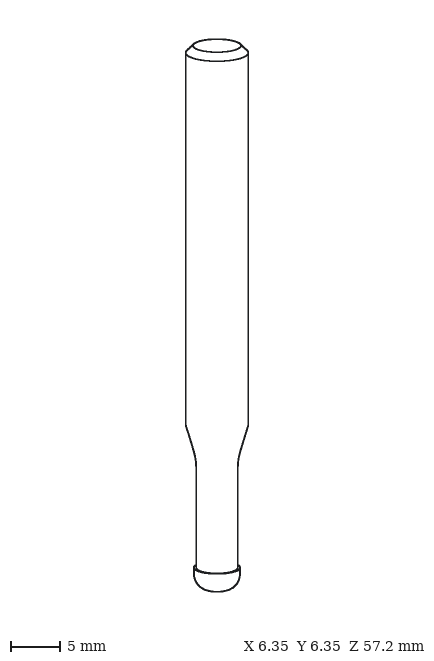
import cadquery as cq
import math

OVERALL_LENGTH = 57.2

HEAD_RADIUS = 2.35
HEAD_LENGTH = 2.3
CORNER_RADIUS = 1.6

NECK_RADIUS = 2.1
NECK_TOP = 12.8
SHANK_RADIUS = 6.35 / 2
SHANK_BOTTOM = 17.3
SHANK_CHAMFER = 0.75

CONE_ANGLE = math.radians(16.5)


def revolve_about_z(profile):
    """Revolve a closed radius-height profile, drawn on the YZ plane, about Z."""
    return profile.revolve(360, (0, 0, 0), (0, 1, 0))


def make_cutting_head():
    """Short cylinder with a rounded lower corner around a small flat tip."""
    corner_center_radius = HEAD_RADIUS - CORNER_RADIUS
    diagonal = CORNER_RADIUS * math.sqrt(0.5)
    profile = (
        cq.Workplane("YZ")
        .lineTo(corner_center_radius, 0)
        .threePointArc(
            (corner_center_radius + diagonal, CORNER_RADIUS - diagonal),
            (HEAD_RADIUS, CORNER_RADIUS),
        )
        .lineTo(HEAD_RADIUS, HEAD_LENGTH)
        .lineTo(0, HEAD_LENGTH)
        .close()
    )
    return revolve_about_z(profile)


def make_shank():
    """Neck, tangent blend, cone and chamfered shank, seated on top of the head."""
    cone_meets_neck = SHANK_BOTTOM - (SHANK_RADIUS - NECK_RADIUS) / math.tan(CONE_ANGLE)
    blend_radius = (cone_meets_neck - NECK_TOP) / math.tan(CONE_ANGLE / 2)
    blend_center_radius = NECK_RADIUS + blend_radius

    def blend_point(angle):
        return (
            blend_center_radius - blend_radius * math.cos(angle),
            NECK_TOP + blend_radius * math.sin(angle),
        )

    profile = (
        cq.Workplane("YZ")
        .moveTo(0, HEAD_LENGTH)
        .lineTo(NECK_RADIUS, HEAD_LENGTH)
        .lineTo(NECK_RADIUS, NECK_TOP)
        .threePointArc(blend_point(CONE_ANGLE / 2), blend_point(CONE_ANGLE))
        .lineTo(SHANK_RADIUS, SHANK_BOTTOM)
        .lineTo(SHANK_RADIUS, OVERALL_LENGTH - SHANK_CHAMFER)
        .lineTo(SHANK_RADIUS - SHANK_CHAMFER, OVERALL_LENGTH)
        .lineTo(0, OVERALL_LENGTH)
        .close()
    )
    return revolve_about_z(profile)


cutting_head = make_cutting_head()
shank = make_shank()

result = cq.Compound.makeCompound([cutting_head.val(), shank.val()])